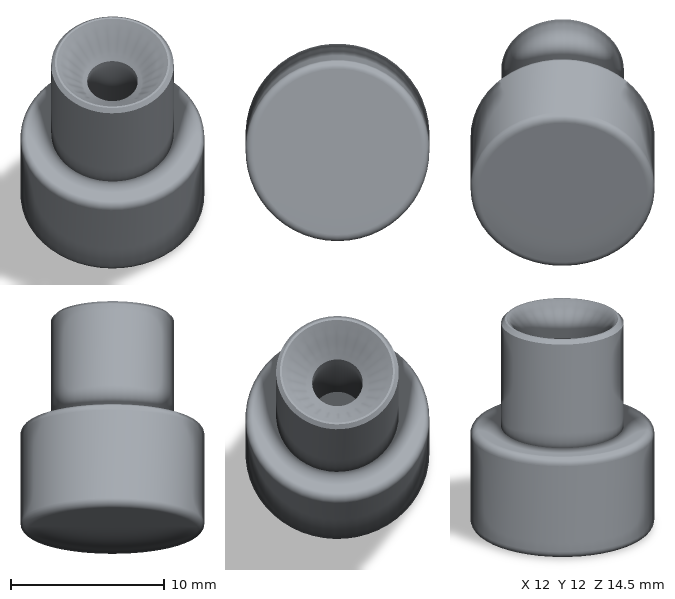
import cadquery as cq

total_height = 14.5
head_diameter = 12.0
head_height = 7.0
head_edge_radius = 0.5

stem_diameter = 8.0
stem_height = total_height - head_height
stem_chamfer = 0.25

bore_diameter = 3.3
countersink_diameter = 7.25
countersink_angle = 90.0


def make_head():
    """Plain cylinder with both rims rounded."""
    head = cq.Workplane("XY").circle(head_diameter / 2).extrude(head_height)
    return head.edges("%CIRCLE").fillet(head_edge_radius)


def make_stem():
    """Chamfered cylinder with a countersunk through bore."""
    stem = cq.Workplane("XY").workplane(offset=head_height).circle(stem_diameter / 2).extrude(stem_height)
    stem = stem.faces(">Z").edges().chamfer(stem_chamfer)
    return stem.faces(">Z").workplane().cskHole(bore_diameter, countersink_diameter, countersink_angle)


head = make_head()
stem = make_stem()

result = cq.Compound.makeCompound([head.val(), stem.val()])